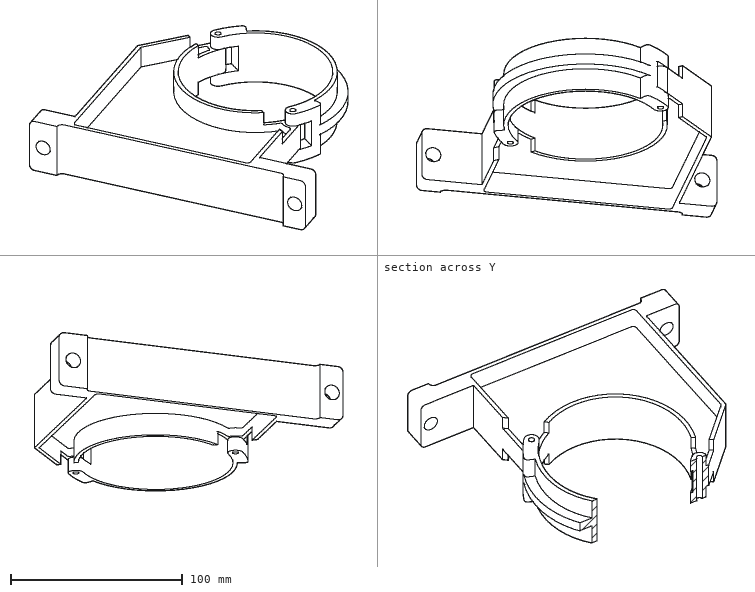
import cadquery as cq
import math

length = 176.0
height = 33.0
mid_z = height / 2
wall = 2.6
web_thickness = 6.5

foot_depth = 15.0
foot_hole = 9.0
left_hole_x = -79.2
right_hole_x = 81.1
corner_radius = 3.3
recess_left = -70.4
recess_right = 73.7
recess_depth = 3.3
recess_radius = 3.2

body_left = -65.5
pocket_radius = 2.3
pin_corner_radius = 1.2
pin_reach = 10.5

ring_x = 9.7
ring_y = 104.9
bore_radius = 45.0
band_radius = bore_radius + wall
rim_radius = 54.0
split_angle = -40.0
lug_span = 20.0
lug_corner_radius = 2.3
lug_radius = (rim_radius - bore_radius) / 2
pin_circle_radius = (rim_radius + bore_radius) / 2
pin_hole = 3.5
fork_thickness = 8.3
tongue_height = height - 2 * fork_thickness
fork_clearance = 10.4
body_clearance = 16.5
pin_boss_radius = lug_radius + 1.8


def ring_point(radius, angle):
    """Point at a polar position about the ring axis."""
    turn = math.radians(angle)
    return ring_x + radius * math.cos(turn), ring_y + radius * math.sin(turn)


pin_points = [ring_point(pin_circle_radius, split_angle + turn) for turn in (0, 180)]
body_right = pin_points[0][0] + lug_radius


def layer(thickness):
    """Workplane for a slab centred on mid-height."""
    return cq.Workplane("XY").workplane(offset=mid_z - thickness / 2)


def pin_discs(radius, thickness):
    return layer(thickness).pushPoints(pin_points).circle(radius).extrude(thickness)


def split_band(start, end, thickness):
    """Slab between two distances from the split line, positive on the cap side."""
    slab = cq.Workplane("XY").box(3 * length, end - start, thickness)
    slab = slab.translate((0, (start + end) / 2, mid_z))
    return slab.rotate((0, 0, 0), (0, 0, 1), split_angle).translate((ring_x, ring_y, 0))


def body_outline(inset):
    """Bracket outline moved inward; its sloping side is tangent to the ring rim."""
    left = body_left + inset
    right = body_right - inset
    bottom = recess_depth + inset
    normal_x = -rim_radius / (ring_x - body_left)
    normal_y = math.sqrt(1 - normal_x ** 2)

    def slope_y(x):
        return ring_y + (rim_radius - inset - (x - ring_x) * normal_x) / normal_y

    return [(left, bottom), (right, bottom), (right, ring_y), (ring_x, slope_y(ring_x)), (left, slope_y(left))]


def make_feet():
    feet = cq.Workplane("XY").box(length, foot_depth, height, centered=(True, False, False))
    feet = feet.edges("|Y").fillet(corner_radius)
    recess = cq.Workplane("XY").box(recess_right - recess_left, recess_depth, height, centered=False)
    recess = recess.translate((recess_left, 0, 0))
    recess = recess.edges("|Z and >Y").fillet(recess_radius)
    holes = (cq.Workplane("XZ").pushPoints([(left_hole_x, mid_z), (right_hole_x, mid_z)])
             .circle(foot_hole / 2).extrude(-foot_depth))
    return feet.cut(recess).cut(holes)


def make_pocket():
    """Space inside the walls, clear of the ring and the pin bosses, above and below the web."""
    pocket = cq.Workplane("XY").polyline(body_outline(wall)).close().extrude(height)
    pocket = pocket.intersect(split_band(-length, -lug_radius, height))
    pocket = pocket.cut(layer(height).center(ring_x, ring_y).circle(band_radius).extrude(height))
    pocket = pocket.cut(pin_discs(pin_boss_radius, height))
    pocket = pocket.edges("|Z and <Y").fillet(pocket_radius)
    for pin_x, pin_y in pin_points:
        near_pin = cq.selectors.BoxSelector((pin_x - pin_reach, pin_y - pin_reach, 0),
                                            (pin_x + pin_reach, pin_y + pin_reach, height))
        pocket = pocket.edges(near_pin).edges("|Z").fillet(pin_corner_radius)
    return pocket.cut(split_band(-length, length, web_thickness))


def make_base():
    body = cq.Workplane("XY").polyline(body_outline(0)).close().extrude(height)
    base = body.intersect(split_band(-length, 0, height))
    pin_x, pin_y = pin_points[0]
    wall_end = (layer(tongue_height).center((pin_x + body_right) / 2, pin_y - lug_radius)
                .rect(body_right - pin_x, 2 * lug_radius).extrude(tongue_height))
    base = base.union(pin_discs(lug_radius, tongue_height)).union(wall_end).union(make_feet())
    relief = split_band(-body_clearance, length, height)
    relief = relief.cut(split_band(-body_clearance, length, tongue_height))
    return base.cut(relief).cut(make_pocket())


def ring_sector(inner, outer, start, end, thickness):
    middle = (start + end) / 2
    return (cq.Workplane("XY").moveTo(*ring_point(outer, start))
            .threePointArc(ring_point(outer, middle), ring_point(outer, end))
            .lineTo(*ring_point(inner, end))
            .threePointArc(ring_point(inner, middle), ring_point(inner, start))
            .close().extrude(thickness))


def make_arch():
    """Half ring of full rim thickness, with a round end about each pin."""
    start, middle, end = split_angle, split_angle + 90, split_angle + 180
    back = math.radians(split_angle - 90)
    tips = [(x + lug_radius * math.cos(back), y + lug_radius * math.sin(back)) for x, y in pin_points]
    return (cq.Workplane("XY").moveTo(*ring_point(rim_radius, start))
            .threePointArc(ring_point(rim_radius, middle), ring_point(rim_radius, end))
            .threePointArc(tips[1], ring_point(bore_radius, end))
            .threePointArc(ring_point(bore_radius, middle), ring_point(bore_radius, start))
            .threePointArc(tips[0], ring_point(rim_radius, start))
            .close().extrude(height))


def make_cap():
    """Arch thinned to a band with a central rim between its two forked lugs."""
    start = split_angle + lug_span
    end = split_angle + 180 - lug_span
    channel_depth = (height - web_thickness) / 2
    channel = ring_sector(band_radius, 2 * rim_radius, start, end, channel_depth)
    cap = make_arch()
    for base_z in (0, height - channel_depth):
        cap = cap.cut(channel.translate((0, 0, base_z)))
        for angle in (start, end):
            shoulder = (*ring_point(rim_radius, angle), base_z + channel_depth / 2)
            cap = cap.edges(cq.NearestToPointSelector(shoulder)).fillet(lug_corner_radius)
    return cap.cut(split_band(-fork_clearance, fork_clearance, tongue_height))


bore = layer(height).center(ring_x, ring_y).circle(bore_radius).extrude(height)
result = make_base().cut(bore).union(make_cap()).cut(pin_discs(pin_hole / 2, height))